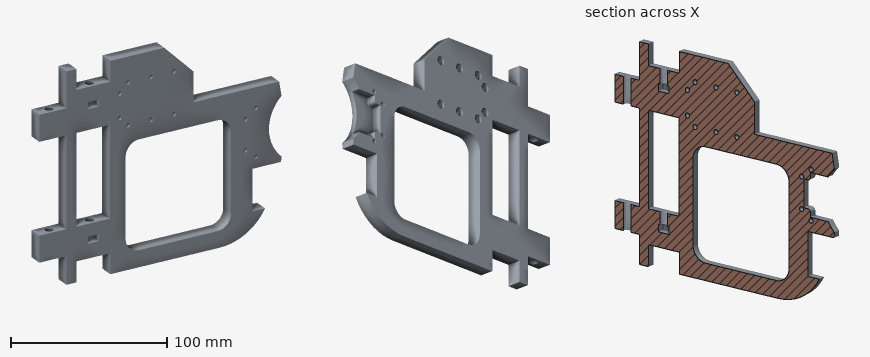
import cadquery as cq
import math

thickness = 10.0
length = 179.3
height = 150.0
front_x = -thickness / 2
back_x = thickness / 2
left_y = length / 2
right_y = -length / 2
top_z = height / 2
bottom_z = -height / 2

head_left_y = 24.5
head_right_y = -37.1
head_chamfer = 21.7
shelf_z = 31.7

lip_z = 21.3
upper_lip_lean = 1.8
lower_lip_lean = 0.4
cradle_depth = 9.3
upper_lip_top_y = left_y - upper_lip_lean
lower_lip_bottom_z = -25.1
lower_lip_bottom_y = left_y - lower_lip_lean

notch_y = 68.0
foot_tip_y = 77.5
foot_top_z = -55.0
foot_tangent_y = 43.7

rail_left_y = -62.0
rail_right_y = -69.5
tab_height = 19.0
upper_tab_step = 11.3
lower_tab_step = 5.4
upper_tab_bottom_z = 30.1
lower_tab_top_z = -35.9
upper_tab_top_z = upper_tab_bottom_z + tab_height
lower_tab_bottom_z = lower_tab_top_z - tab_height
upper_bridge_top_z = upper_tab_top_z + upper_tab_step
lower_bridge_bottom_z = lower_tab_bottom_z - lower_tab_step

slot_left_y = -37.5
opening_size = 78.0
opening_radius = 10.0
opening_y = 13.3
opening_z = -24.0

screw_hole_d = 3.0
counterbore_d = 6.1
counterbore_depth = 2.0
screw_pitch = 17.0
screw_row_y = -7.2
screw_row_z = (26.7, 56.8)
side_screw_y = -30.5
side_screw_z = (33.2, 50.4)

pocket_depth = 6.3
pocket_fillet = 1.0
pocket_overrun = 3.5
pocket_half_height = 14.9
pocket_step_y = 70.1
pocket_end_y = 64.7
pocket_end_half_height = 9.5
pocket_corner_radius = 2.3
selection_margin = 0.2
pin_hole_d = 3.0
pin_holes = ((70.5, 17.2), (62.7, 11.0))

bolt_hole_d = 6.0
inner_bolt_y = -49.7
outer_bolt_y = -79.6
nut_slot_width = 8.0
nut_slot_height = 4.8
nut_slot_skin = 0.2
nut_slot_z = 47.3


def block(x0, x1, y0, y1, z0, z1):
    """Box between the given limits, lower limit first on each axis."""
    return (
        cq.Workplane("XY")
        .box(x1 - x0, y1 - y0, z1 - z0)
        .translate(((x0 + x1) / 2, (y0 + y1) / 2, (z0 + z1) / 2))
    )


def drill_x(points, diameter, depth):
    """Cylinders entering from the -X face at (y, z) points."""
    return (
        cq.Workplane("YZ", origin=(front_x, 0, 0))
        .pushPoints(points)
        .circle(diameter / 2)
        .extrude(depth)
    )


def plate():
    """Outer outline extruded through the thickness."""
    run = foot_tip_y - foot_tangent_y
    rise = foot_top_z - bottom_z
    foot_radius = (run**2 + rise**2) / (2 * rise)
    half_run = run / 2
    mid_z = bottom_z + foot_radius - math.sqrt(foot_radius**2 - half_run**2)
    return (
        cq.Workplane("YZ", origin=(front_x, 0, 0))
        .moveTo(upper_lip_top_y, shelf_z)
        .lineTo(head_left_y, shelf_z)
        .lineTo(head_left_y, top_z - head_chamfer)
        .lineTo(head_left_y - head_chamfer, top_z)
        .lineTo(head_right_y, top_z)
        .lineTo(head_right_y, upper_bridge_top_z)
        .lineTo(rail_left_y, upper_bridge_top_z)
        .lineTo(rail_left_y, top_z)
        .lineTo(rail_right_y, top_z)
        .lineTo(rail_right_y, upper_tab_top_z)
        .lineTo(right_y, upper_tab_top_z)
        .lineTo(right_y, upper_tab_bottom_z)
        .lineTo(rail_right_y, upper_tab_bottom_z)
        .lineTo(rail_right_y, lower_tab_top_z)
        .lineTo(right_y, lower_tab_top_z)
        .lineTo(right_y, lower_tab_bottom_z)
        .lineTo(rail_right_y, lower_tab_bottom_z)
        .lineTo(rail_right_y, bottom_z)
        .lineTo(rail_left_y, bottom_z)
        .lineTo(rail_left_y, lower_bridge_bottom_z)
        .lineTo(head_right_y, lower_bridge_bottom_z)
        .lineTo(head_right_y, bottom_z)
        .lineTo(foot_tangent_y, bottom_z)
        .threePointArc((foot_tangent_y + half_run, mid_z), (foot_tip_y, foot_top_z))
        .lineTo(notch_y, foot_top_z)
        .lineTo(notch_y, lower_lip_bottom_z)
        .lineTo(lower_lip_bottom_y, lower_lip_bottom_z)
        .lineTo(left_y, -lip_z)
        .threePointArc((left_y - cradle_depth, 0), (left_y, lip_z))
        .close()
        .extrude(thickness)
    )


def openings():
    """Large rounded square window and the slot beside the rail."""
    square = (
        block(
            front_x,
            back_x,
            opening_y - opening_size / 2,
            opening_y + opening_size / 2,
            opening_z - opening_size / 2,
            opening_z + opening_size / 2,
        )
        .edges("|X")
        .fillet(opening_radius)
    )
    slot = block(front_x, back_x, rail_left_y, slot_left_y, lower_tab_top_z, upper_tab_bottom_z)
    return square.union(slot)


def screw_holes():
    points = [(screw_row_y + i * screw_pitch, z) for i in (-1, 0, 1) for z in screw_row_z]
    points += [(side_screw_y, z) for z in side_screw_z]
    through = drill_x(points, screw_hole_d, thickness)
    return through.union(drill_x(points, counterbore_d, counterbore_depth))


def pocket():
    """Stepped recess, open at the cradle, with a filleted floor."""
    floor_x = front_x + pocket_depth
    outer_y = left_y + pocket_overrun
    wide = block(front_x, floor_x, pocket_step_y, outer_y, -pocket_half_height, pocket_half_height)
    narrow = block(
        front_x, floor_x, pocket_end_y, outer_y, -pocket_end_half_height, pocket_end_half_height
    )
    reach_z = pocket_end_half_height + selection_margin
    step = cq.selectors.BoxSelector(
        (front_x, pocket_step_y - selection_margin, -reach_z),
        (back_x, pocket_step_y + selection_margin, reach_z),
    )
    body = wide.union(narrow).edges("|X").edges(step).fillet(pocket_corner_radius)
    return body.faces(">X").edges().fillet(pocket_fillet)


def pin_hole_cutters():
    points = [(y, side * z) for y, z in pin_holes for side in (-1, 1)]
    return drill_x(points, pin_hole_d, thickness)


def bolt_holes():
    """Outer hole through both tabs, inner holes ending in nut slots open at +X."""
    cutters = (
        cq.Workplane("XY", origin=(0, 0, bottom_z))
        .center(0, outer_bolt_y)
        .circle(bolt_hole_d / 2)
        .extrude(height)
    )
    for top, nut_z in ((upper_bridge_top_z, nut_slot_z), (lower_tab_top_z, -nut_slot_z)):
        hole = (
            cq.Workplane("XY", origin=(0, inner_bolt_y, nut_z))
            .circle(bolt_hole_d / 2)
            .extrude(top - nut_z)
        )
        nut = block(
            front_x + nut_slot_skin,
            back_x,
            inner_bolt_y - nut_slot_width / 2,
            inner_bolt_y + nut_slot_width / 2,
            nut_z - nut_slot_height / 2,
            nut_z + nut_slot_height / 2,
        )
        cutters = cutters.union(hole).union(nut)
    return cutters


result = plate()
for cutter in (openings(), screw_holes(), pocket(), pin_hole_cutters(), bolt_holes()):
    result = result.cut(cutter)